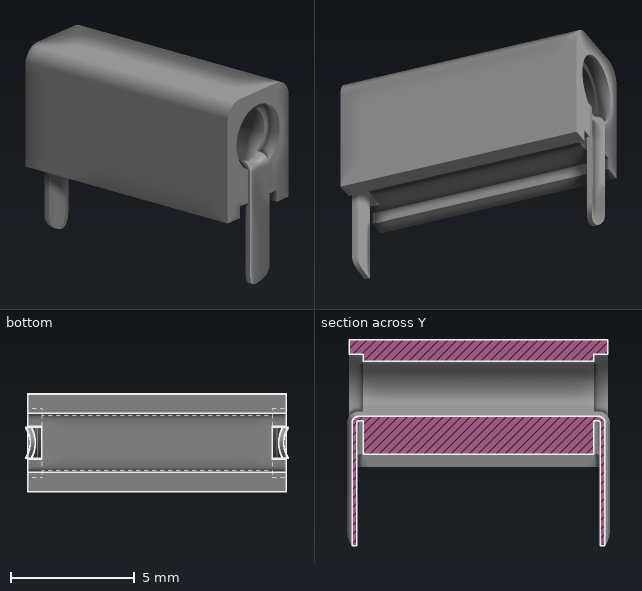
import cadquery as cq
import math

overall_length = 10.63
overall_height = 8.34
block_length = 10.46
block_width = 3.96
block_height = 5.15
top_edge_radius = 0.79
channel_width = 2.37
channel_height = 0.5

bore_diameter = 2.21
counterbore_diameter = 2.8
counterbore_depth = 0.56
bore_drop = 1.99

pin_width = 1.24
pin_thickness = 0.2
pin_slot_width = 1.32
bend_inner_radius = 0.09

block_bottom = overall_height - block_height
bore_height = overall_height - bore_drop
block_end = block_length / 2
ledge_x = block_end - counterbore_depth

trough_inner_radius = bore_diameter / 2
trough_outer_radius = trough_inner_radius + pin_thickness
bend_height = bore_height - trough_outer_radius - bend_inner_radius


def arc_depth(radius):
    """Distance from the trough axis to its arc at the pin's side edges."""
    return math.sqrt(radius**2 - (pin_width / 2) ** 2)


trough_axis_x = -overall_length / 2 - arc_depth(trough_inner_radius)
bend_axis_x = trough_axis_x + trough_outer_radius + bend_inner_radius


def box(length, width, height, x, z):
    """Box centred on Y, centred on x, and standing on z."""
    return cq.Workplane("XY").box(length, width, height, centered=(True, True, False)).translate((x, 0, z))


def bore_cylinder(radius, start_x, length):
    """Cylinder on the bore axis, running toward +X from start_x."""
    return cq.Workplane("YZ", origin=(start_x, 0, bore_height)).circle(radius).extrude(length)


def make_block():
    block = box(block_length, block_width, block_height, 0, block_bottom)
    block = block.edges("|X and >Z").fillet(top_edge_radius)
    block = block.cut(box(block_length, channel_width, channel_height, 0, block_bottom))
    for start_x in (-block_end, ledge_x):
        block = block.cut(bore_cylinder(counterbore_diameter / 2, start_x, counterbore_depth))
    slot_x = block_end - counterbore_depth / 2
    for side in (-1, 1):
        slot_height = bore_height - block_bottom
        pin_slot = box(counterbore_depth, pin_slot_width, slot_height, side * slot_x, block_bottom)
        block = block.cut(pin_slot)
    return block


def trough_section(plane):
    """Curved strip section, with its depth along X and its width along Y."""
    half = pin_width / 2
    inner_edge = arc_depth(trough_inner_radius)
    outer_edge = arc_depth(trough_outer_radius)
    return (
        plane.moveTo(inner_edge, -half)
        .threePointArc((trough_inner_radius, 0), (inner_edge, half))
        .lineTo(outer_edge, half)
        .threePointArc((trough_outer_radius, 0), (outer_edge, -half))
        .close()
    )


def make_left_pin():
    section_plane = cq.Workplane("XY", origin=(trough_axis_x, 0, bend_height))
    leg = trough_section(section_plane).extrude(-bend_height)

    tip_radius = pin_width / 2
    tip_outline = (
        cq.Workplane("YZ", origin=(-overall_length, 0, 0))
        .moveTo(-tip_radius, bend_height)
        .lineTo(-tip_radius, tip_radius)
        .threePointArc((0, 0), (tip_radius, tip_radius))
        .lineTo(tip_radius, bend_height)
        .close()
    )
    leg = leg.intersect(tip_outline.extrude(overall_length))

    bend_axis_offset = bend_axis_x - trough_axis_x
    bend = trough_section(section_plane).revolve(90, (bend_axis_offset, 0), (bend_axis_offset, 1))

    root_length = -ledge_x - bend_axis_x
    root_limits = box(root_length, pin_width, trough_outer_radius, bend_axis_x + root_length / 2,
                      bore_height - trough_outer_radius)
    root = bore_cylinder(trough_outer_radius, bend_axis_x, root_length).intersect(root_limits)
    return leg.union(bend).union(root)


left_pin = make_left_pin()
right_pin = left_pin.mirror("YZ")
body = make_block().union(left_pin).union(right_pin)

bore = bore_cylinder(bore_diameter / 2, bend_axis_x, -2 * bend_axis_x)
result = body.cut(bore)